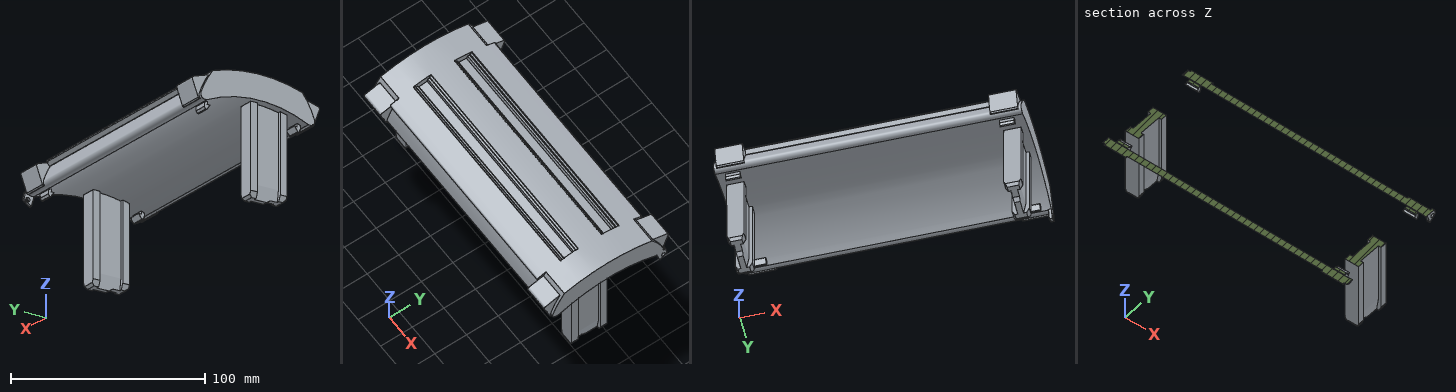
import cadquery as cq
import math

LENGTH = 163.0
HALF_LENGTH = LENGTH / 2
HEIGHT = 67.2
END_LENGTH = 16.3
MID_HALF_LENGTH = HALF_LENGTH - END_LENGTH

CROWN_RADIUS = 91.3
CROWN_THICKNESS = 14.5
SHOULDER_Y = 27.7
SIDE_MIDDLE = (32.6, -12.2)
BASE_CORNER = (36.2, -21.7)
BASE_INNER = (31.3, -21.4)
BASE_FILLET = 2.6

LIP_TOP_Y = 32.5
LIP_TIP = (33.1, -7.3)
LIP_ROOT = (31.3, -9.3)

FOOT_INSET = 1.6
FOOT_LENGTH = END_LENGTH - FOOT_INSET
FOOT_ROOT = (28.0, -6.2)
FOOT_TIP = (39.8, -9.6)
FOOT_HEEL = (35.7, -20.4)
FOOT_SOLE = (35.0, -21.0)
FOOT_CORE = (28.0, -18.0)
FOOT_FILLET = 1.5

SLOT_NEAR_Y = 7.3
SLOT_WIDTH = 11.2
SLOT_Y = SLOT_NEAR_Y + SLOT_WIDTH / 2
SLOT_MIDDLE_WIDTH = 8.8
SLOT_INNER_WIDTH = 6.4
SLOT_FLOOR_WIDTH = 5.2
SLOT_STEP = 1.1
SLOT_DEPTH = 3.7
SLOT_CLEARANCE = 3.3

CLIP_LENGTH = 7.7
CLIP_INSET = 5.0
CLIP_TOP_Z = -18.7
CLIP_OUTER_Y = 29.7
CLIP_NECK_Y = 27.7
CLIP_BARB = (26.0, -21.5)
CLIP_SHANK_Z = -23.0
CLIP_TIP_Z = -24.3
CLIP_TIP_OUTER_Y = 28.9
CLIP_TIP_INNER_Y = 28.0

LUG_THICKNESS = 1.6
LUG_OUTLINE = ((36.3, -19.5), (37.3, -23.8), (32.8, -27.0), (30.6, -20.2))
LUG_HOLE = (34.9, -23.6)
LUG_HOLE_DIAMETER = 2.3

LEG_INSET = 3.6
LEG_THICKNESS = 9.1
LEG_Y_MAX = 2.0
LEG_Y_MIN = -20.5
LEG_TOP_Z = -11.4
LEG_SHORT_Z = -65.7
LEG_STEP_HIGH_Y = -12.0
LEG_STEP_LOW_Y = -9.8
LEG_CORNER = 1.5
LEG_TAPER_INSET = 1.5
LEG_TAPER_HEIGHT = 3.3
RIB_WIDTH = 4.2
WEB_THICKNESS = 5.5
WEB_TIP_THICKNESS = 3.1
WEB_TAPER_Z = -59.3


def crown_z(y):
    """Height of the arched top surface at a distance y from the middle."""
    return math.sqrt(CROWN_RADIUS**2 - y**2) - CROWN_RADIUS


def mirrored(point):
    """The same cross-section point on the -Y side."""
    return (-point[0], point[1])


def section(x_start):
    """A cross-section sketch plane (local axes are Y and Z) at x_start."""
    return cq.Workplane("YZ", origin=(x_start, 0, 0))


def both_sides(solid):
    """The solid together with its mirror image across the XZ plane."""
    return solid.union(solid.mirror("XZ"))


def four_corners(solid):
    """The solid together with its mirror images in all four corners."""
    pair = both_sides(solid)
    return pair.union(pair.mirror("YZ"))


def make_body():
    shoulder = (SHOULDER_Y, crown_z(SHOULDER_Y))
    body = (
        section(-HALF_LENGTH)
        .moveTo(*mirrored(shoulder))
        .threePointArc((0, 0), shoulder)
        .threePointArc(SIDE_MIDDLE, BASE_CORNER)
        .lineTo(*BASE_INNER)
        .threePointArc((0, -CROWN_THICKNESS), mirrored(BASE_INNER))
        .lineTo(*mirrored(BASE_CORNER))
        .threePointArc(mirrored(SIDE_MIDDLE), mirrored(shoulder))
        .close()
        .extrude(LENGTH)
    )
    for side in (1, -1):
        corner = cq.selectors.NearestToPointSelector((0, side * BASE_CORNER[0], BASE_CORNER[1]))
        body = body.edges(corner).fillet(BASE_FILLET)
    return body


def make_lip():
    """One lip: the crown carried past the shoulder, with a rounded edge and a slanted underside."""
    arc_middle_y = (SHOULDER_Y + LIP_TOP_Y) / 2
    return (
        section(-MID_HALF_LENGTH)
        .moveTo(SHOULDER_Y, crown_z(SHOULDER_Y))
        .threePointArc((arc_middle_y, crown_z(arc_middle_y)), (LIP_TOP_Y, crown_z(LIP_TOP_Y)))
        .tangentArcPoint(LIP_TIP, relative=False)
        .lineTo(*LIP_ROOT)
        .lineTo(SHOULDER_Y, LIP_ROOT[1])
        .close()
        .extrude(2 * MID_HALF_LENGTH)
    )


def make_foot():
    foot = (
        section(MID_HALF_LENGTH)
        .polyline([FOOT_ROOT, FOOT_TIP, FOOT_HEEL, FOOT_SOLE, FOOT_CORE])
        .close()
        .extrude(FOOT_LENGTH)
    )
    tip = cq.selectors.NearestToPointSelector((MID_HALF_LENGTH + FOOT_LENGTH / 2, *FOOT_TIP))
    return foot.edges(tip).fillet(FOOT_FILLET)


def make_slot():
    """Cutter for one slot: two square steps, then slanted walls, sunk square to the arched surface."""
    right_half = [
        (SLOT_WIDTH / 2, SLOT_CLEARANCE),
        (SLOT_WIDTH / 2, -SLOT_STEP),
        (SLOT_MIDDLE_WIDTH / 2, -SLOT_STEP),
        (SLOT_MIDDLE_WIDTH / 2, -2 * SLOT_STEP),
        (SLOT_INNER_WIDTH / 2, -2 * SLOT_STEP),
        (SLOT_FLOOR_WIDTH / 2, -SLOT_DEPTH),
    ]
    left_half = [mirrored(point) for point in reversed(right_half)]
    cutter = section(-MID_HALF_LENGTH).polyline(right_half + left_half).close()
    tilt = math.degrees(math.asin(SLOT_Y / CROWN_RADIUS))
    return cutter.extrude(2 * MID_HALF_LENGTH).rotate(
        (0, 0, -CROWN_RADIUS), (1, 0, -CROWN_RADIUS), -tilt
    )


def make_clip():
    outline = [
        (CLIP_OUTER_Y, CLIP_TOP_Z),
        (CLIP_OUTER_Y, CLIP_SHANK_Z),
        (CLIP_TIP_OUTER_Y, CLIP_TIP_Z),
        (CLIP_TIP_INNER_Y, CLIP_TIP_Z),
        CLIP_BARB,
        (CLIP_NECK_Y, CLIP_BARB[1]),
        (CLIP_NECK_Y, CLIP_TOP_Z),
    ]
    x_start = HALF_LENGTH - CLIP_INSET - CLIP_LENGTH
    return section(x_start).polyline(outline).close().extrude(CLIP_LENGTH)


def make_lug():
    x_start = HALF_LENGTH - LUG_THICKNESS
    plate = section(x_start).polyline(LUG_OUTLINE).close().extrude(LUG_THICKNESS)
    hole = section(x_start).center(*LUG_HOLE).circle(LUG_HOLE_DIAMETER / 2).extrude(LUG_THICKNESS)
    return plate.cut(hole)


def tapered_blade(thickness, tip_thickness, taper_z, tip_z):
    """A slab across the whole leg whose two X faces draw in from taper_z down to tip_z."""
    half, half_tip = thickness / 2, tip_thickness / 2
    outline = [
        (-half, LEG_TOP_Z),
        (half, LEG_TOP_Z),
        (half, taper_z),
        (half_tip, tip_z),
        (-half_tip, tip_z),
        (-half, taper_z),
    ]
    blade = cq.Workplane("XZ", origin=(0, LEG_Y_MAX, 0)).polyline(outline).close()
    return blade.extrude(LEG_Y_MAX - LEG_Y_MIN)


def y_band(y_min, y_max):
    """A block that keeps only the part of a leg between two Y positions."""
    block = cq.Workplane("XY", origin=(0, y_min, -HEIGHT))
    return block.box(LEG_THICKNESS, y_max - y_min, HEIGHT, centered=(True, False, False))


def make_leg():
    """An I-section leg: two ribs joined by a thinner web, the rib on the -Y side being shorter."""
    tip_thickness = LEG_THICKNESS - 2 * LEG_TAPER_INSET
    leg = tapered_blade(WEB_THICKNESS, WEB_TIP_THICKNESS, WEB_TAPER_Z, -HEIGHT)
    ribs = (
        (LEG_Y_MAX - RIB_WIDTH, LEG_Y_MAX, -HEIGHT),
        (LEG_Y_MIN, LEG_Y_MIN + RIB_WIDTH, LEG_SHORT_Z),
    )
    for y_min, y_max, tip_z in ribs:
        blade = tapered_blade(LEG_THICKNESS, tip_thickness, tip_z + LEG_TAPER_HEIGHT, tip_z)
        leg = leg.union(blade.intersect(y_band(y_min, y_max)))
    side_outline = [
        (LEG_Y_MAX, LEG_TOP_Z),
        (LEG_Y_MAX, LEG_CORNER - HEIGHT),
        (LEG_Y_MAX - LEG_CORNER, -HEIGHT),
        (LEG_STEP_LOW_Y, -HEIGHT),
        (LEG_STEP_HIGH_Y, LEG_SHORT_Z),
        (LEG_Y_MIN + LEG_CORNER, LEG_SHORT_Z),
        (LEG_Y_MIN, LEG_SHORT_Z + LEG_CORNER),
        (LEG_Y_MIN, LEG_TOP_Z),
    ]
    envelope = section(-LEG_THICKNESS / 2).polyline(side_outline).close().extrude(LEG_THICKNESS)
    return leg.intersect(envelope)


body = make_body()
body = body.union(both_sides(make_lip()))
body = body.union(four_corners(make_foot()))
body = body.cut(both_sides(make_slot()))
body = body.union(four_corners(make_clip()))
body = body.union(make_lug())

leg_x = HALF_LENGTH - LEG_INSET - LEG_THICKNESS / 2
for x in (-leg_x, leg_x):
    body = body.union(make_leg().translate((x, 0, 0)))

result = body